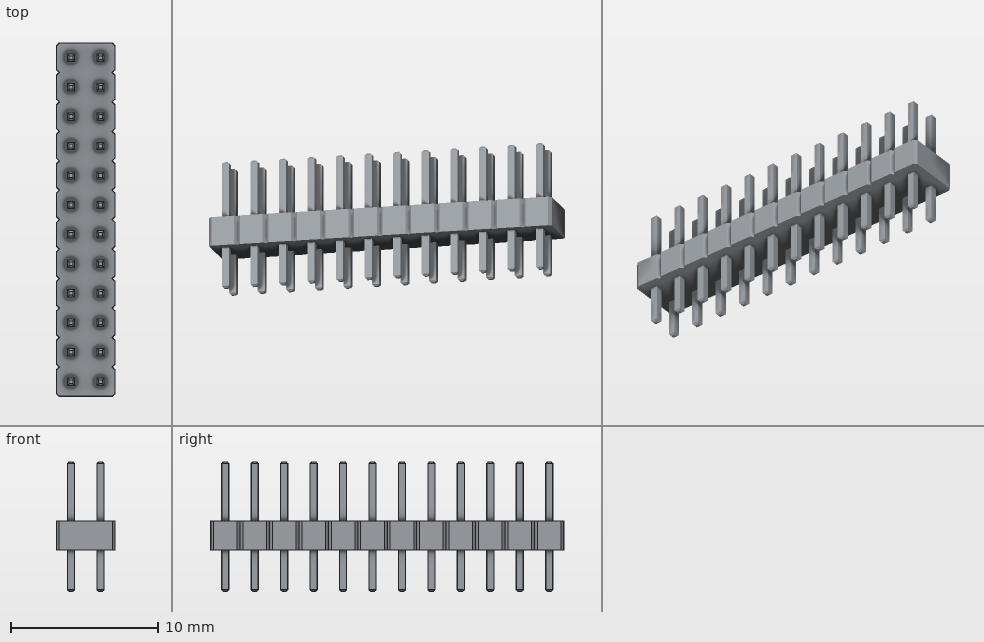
import cadquery as cq

PITCH = 2.0
ROWS = 12
COLUMNS = 2
BODY_HEIGHT = 2.0
CORNER_CHAMFER = 0.2
PIN_WIDTH = 0.5
PIN_ABOVE_BODY = 4.0
PIN_BELOW_BODY = 2.8

BODY_WIDTH = COLUMNS * PITCH
PIN_BOTTOM = -PIN_BELOW_BODY
PIN_TOP = BODY_HEIGHT + PIN_ABOVE_BODY
TIP_CHAMFER = PIN_WIDTH / 4


def centred_positions(count):
    """Positions of a centred row of items, one pitch apart."""
    return [(index - (count - 1) / 2) * PITCH for index in range(count)]


def make_body():
    """Insulator made of one chamfered block per row; neighbours leave V-notches between them."""
    segment = (
        cq.Workplane("XY")
        .box(BODY_WIDTH, PITCH, BODY_HEIGHT, centered=(True, True, False))
        .edges("|Z")
        .chamfer(CORNER_CHAMFER)
    )
    body = cq.Workplane("XY")
    for y in centred_positions(ROWS):
        body = body.union(segment.translate((0, y, 0)))
    return body.clean()


def make_pin():
    """Square pin on the Z axis, tapered to a smaller square at both ends."""
    pin_length = PIN_TOP - PIN_BOTTOM
    pin = cq.Workplane("XY").box(PIN_WIDTH, PIN_WIDTH, pin_length, centered=(True, True, False))
    pin = pin.faces("<Z or >Z").chamfer(TIP_CHAMFER)
    return pin.translate((0, 0, PIN_BOTTOM))


def make_header():
    """Body with a pin through every row and column position."""
    header = make_body()
    pin = make_pin()
    for x in centred_positions(COLUMNS):
        for y in centred_positions(ROWS):
            header = header.union(pin.translate((x, y, 0)))
    return header


result = make_header()